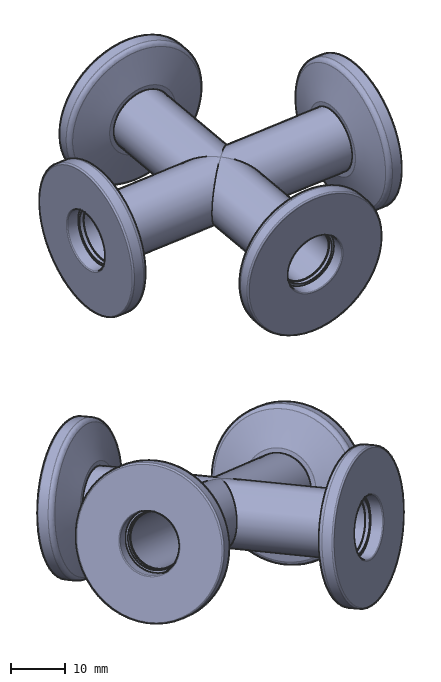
import cadquery as cq
import math

SPAN = 60.0
FLANGE_RADIUS = 15.0

TUBE_RADIUS = 6.35
TUBE_BORE_RADIUS = 5.35

FLANGE_DEPTH = 5.15
BACK_FACE_RADIUS = 7.3
CONE_ANGLE = 15.0
FACE_EDGE_RADIUS = 0.3
BACK_EDGE_RADIUS = 1.0
RECESS_RADIUS = 6.0
RECESS_DEPTH = 2.5
MOUTH_EDGE_RADIUS = 0.2
FLANGE_BORE_RADIUS = 5.5
SOCKET_DEPTH = 3.35

TUBE_HALF_LENGTH = SPAN / 2 - SOCKET_DEPTH
ARM_ANGLES = (0, 90, 180, 270)

EDGE_MARGIN = 0.05


def cross_cylinders(radius, half_length):
    """Two crossing cylinders along X and Y, centred on the origin."""
    along_x = cq.Workplane("YZ").circle(radius).extrude(half_length, both=True)
    along_y = cq.Workplane("XZ").circle(radius).extrude(half_length, both=True)
    return along_x.union(along_y)


def make_cross_tube():
    """Four-way tube with open ends."""
    outside = cross_cylinders(TUBE_RADIUS, TUBE_HALF_LENGTH)
    bore = cross_cylinders(TUBE_BORE_RADIUS, TUBE_HALF_LENGTH)
    return outside.cut(bore)


def circle_at(x, radius):
    """Selector for the circular edges around the X axis at x, up to the given radius."""
    reach = radius + EDGE_MARGIN
    return cq.selectors.BoxSelector(
        (x - EDGE_MARGIN, -reach, -reach), (x + EDGE_MARGIN, reach, reach), boundingbox=True
    )


def make_flange():
    """Flange on the +X arm: a ring revolved about X, stepped inside to hold the tube end."""
    face_x = SPAN / 2
    back_x = face_x - FLANGE_DEPTH
    recess_x = face_x - RECESS_DEPTH
    shoulder_x = face_x - SOCKET_DEPTH
    cone_length = (FLANGE_RADIUS - BACK_FACE_RADIUS) * math.tan(math.radians(CONE_ANGLE))
    rim_back_x = back_x + cone_length

    ring = (
        cq.Workplane("XY")
        .moveTo(face_x, RECESS_RADIUS)
        .lineTo(face_x, FLANGE_RADIUS)
        .lineTo(rim_back_x, FLANGE_RADIUS)
        .lineTo(back_x, BACK_FACE_RADIUS)
        .lineTo(back_x, TUBE_RADIUS)
        .lineTo(shoulder_x, TUBE_RADIUS)
        .lineTo(shoulder_x, FLANGE_BORE_RADIUS)
        .lineTo(recess_x, FLANGE_BORE_RADIUS)
        .lineTo(recess_x, RECESS_RADIUS)
        .close()
        .revolve(360, (0, 0, 0), (1, 0, 0))
    )
    ring = ring.edges(circle_at(rim_back_x, FLANGE_RADIUS)).fillet(BACK_EDGE_RADIUS)
    ring = ring.edges(circle_at(face_x, RECESS_RADIUS)).fillet(MOUTH_EDGE_RADIUS)
    outer_face_edge = cq.selectors.RadiusNthSelector(-1)
    return ring.faces(">X").edges(outer_face_edge).fillet(FACE_EDGE_RADIUS)


cross_tube = make_cross_tube()
flange = make_flange()
flanges = [flange.rotate((0, 0, 0), (0, 0, 1), angle) for angle in ARM_ANGLES]

result = cq.Compound.makeCompound([cross_tube.val(), *[ring.val() for ring in flanges]])